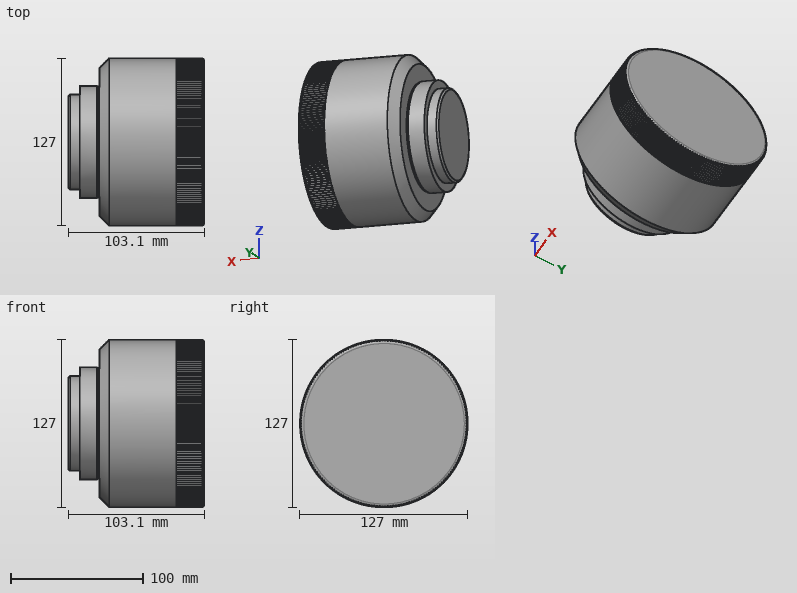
import cadquery as cq
import math

length = 103.12
body_radius = 127.0 / 2

nose_radius = 72.0 / 2
nose_chamfer = 1.5

collar_start = 8.9
collar_radius = 85.1 / 2
collar_chamfer = 1.0
neck_start = 22.8
neck_radius = collar_radius - collar_chamfer

body_start = 23.6
body_chamfer = 7.55

grip_start = 81.8
grip_rounding = 2.8
groove_count = 190
groove_angle = math.radians(90)
crest_clearance = 0.02


def make_turned_body():
    """Nose, collar, neck and body as one profile turned about X."""
    return (
        cq.Workplane("XZ")
        .lineTo(0, nose_radius - nose_chamfer)
        .lineTo(nose_chamfer, nose_radius)
        .lineTo(collar_start, nose_radius)
        .lineTo(collar_start, collar_radius)
        .lineTo(neck_start - collar_chamfer, collar_radius)
        .lineTo(neck_start, neck_radius)
        .lineTo(body_start, neck_radius)
        .lineTo(body_start, body_radius - body_chamfer)
        .lineTo(body_start + body_chamfer, body_radius)
        .lineTo(grip_start, body_radius)
        .lineTo(grip_start, 0)
        .close()
        .revolve(360, (0, 0, 0), (1, 0, 0))
    )


def make_grip():
    """Straight-knurled disc: a sharp-toothed prism trimmed to a rounded rear edge."""
    grip_length = length - grip_start
    half_pitch = math.pi / groove_count
    half_width = body_radius * math.sin(half_pitch)
    root_radius = body_radius * math.cos(half_pitch) - half_width / math.tan(groove_angle / 2)
    outline = []
    for i in range(groove_count):
        root_turn = 2 * i * half_pitch
        crest_turn = root_turn + half_pitch
        outline.append((root_radius * math.cos(root_turn), root_radius * math.sin(root_turn)))
        outline.append((body_radius * math.cos(crest_turn), body_radius * math.sin(crest_turn)))
    grip_plane = cq.Workplane("YZ").workplane(offset=grip_start)
    teeth = grip_plane.polyline(outline).close().extrude(grip_length)
    envelope = (
        grip_plane.circle(body_radius + crest_clearance)
        .extrude(grip_length)
        .faces(">X")
        .edges()
        .fillet(grip_rounding)
    )
    return teeth.intersect(envelope)


result = make_turned_body().union(make_grip(), clean=False)